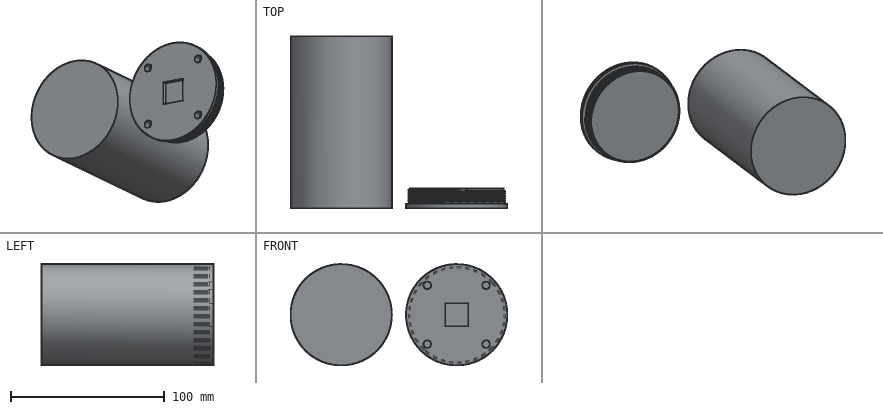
import cadquery as cq

total_width = 141.0
total_length = 112.0
outer_diameter = 66.0
front_y = -total_length / 2
center_x = (total_width - outer_diameter) / 2

flange_thickness = 3.0
plug_length = 10.0
lid_length = flange_thickness + plug_length

thread_root_diameter = 61.2
thread_major_diameter = 62.9
thread_length = 8.6
thread_turns = 5.75
thread_pitch = thread_length / thread_turns
thread_base_width = 1.2
thread_crest_width = 0.21
thread_clearance = 0.07
thread_start = flange_thickness + thread_base_width / 2 + thread_clearance
thread_embed = 0.1

socket_side = 15.0
socket_depth = 3.0
hole_diameter = 5.0
hole_depth = 6.0
hole_spacing = 38.2


def make_cylinder_body():
    """Plain round body with closed, flat ends."""
    return cq.Workplane("XY").circle(outer_diameter / 2).extrude(total_length)


def make_thread_ridge():
    """Trapezoidal ridge wound around the plug as a right-hand helix."""
    root_radius = thread_root_diameter / 2
    crest_radius = thread_major_diameter / 2
    inner_radius = root_radius - thread_embed
    half_base = thread_base_width / 2
    half_crest = thread_crest_width / 2
    helix = cq.Wire.makeHelix(
        thread_pitch, thread_length, root_radius, center=cq.Vector(0, 0, thread_start)
    )
    profile = (
        cq.Workplane("XZ")
        .moveTo(inner_radius, thread_start - half_base)
        .lineTo(crest_radius, thread_start - half_crest)
        .lineTo(crest_radius, thread_start + half_crest)
        .lineTo(inner_radius, thread_start + half_base)
        .close()
    )
    return profile.sweep(cq.Workplane(helix), isFrenet=True)


def make_lid():
    """Flanged lid with a threaded plug, a square socket and four blind holes."""
    flange = cq.Workplane("XY").circle(outer_diameter / 2).extrude(flange_thickness)
    plug = cq.Workplane("XY").circle(thread_root_diameter / 2).extrude(lid_length)
    plug = plug.rotate((0, 0, 0), (0, 0, 1), 90)
    socket = cq.Workplane("XY").rect(socket_side, socket_side).extrude(socket_depth)
    holes = (
        cq.Workplane("XY")
        .rect(hole_spacing, hole_spacing, forConstruction=True)
        .vertices()
        .circle(hole_diameter / 2)
        .extrude(hole_depth)
    )
    threaded_plug = plug.union(make_thread_ridge())
    return threaded_plug.union(flange).cut(socket).cut(holes)


def lay_along_y(body, x):
    """Turn a body's axis from Z to Y and set its front face at front_y."""
    return body.rotate((0, 0, 0), (1, 0, 0), -90).translate((x, front_y, 0))


cylinder_body = lay_along_y(make_cylinder_body(), -center_x)
lid = lay_along_y(make_lid(), center_x)

result = cq.Compound.makeCompound([cylinder_body.val(), lid.solids().val()])